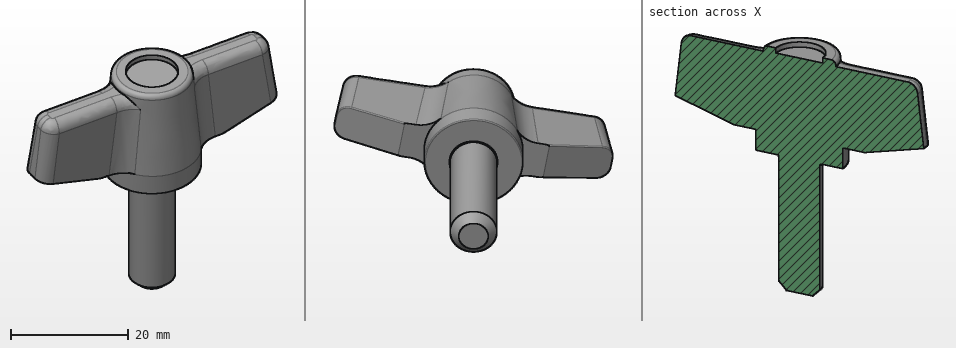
import cadquery as cq

tip_chamfer = 1.5
collar_bottom = 24.8
hub_bottom = 25.0
grip_bottom = 28.85
wing_top = 43.9
hub_top = 45.0

shank_radius = 8.0 / 2
collar_radius = 4.12
hub_radius = 16.9 / 2
hub_top_radius = 6.95
rim_fillet = 0.9
bottom_edge_fillet = 0.2
recess_radius = 8.95 / 2
recess_depth = 0.95

wing_half_width = 3.3
wing_top_lean_side = 2.25
overall_length = 47.95
edge_rounding_loss = 0.02
wing_reach = overall_length / 2 + edge_rounding_loss
wing_top_reach = 22.6
wing_tip_bottom = 32.0
underside_start = 12.55
end_corner_fillet = 2.3
root_fillet = 5.05
top_edge_fillet = 2.0

selection_margin = 0.15

end_lean = (wing_reach - wing_top_reach) / (wing_top - wing_tip_bottom)
wing_bottom_reach = wing_reach + end_lean * (wing_tip_bottom - grip_bottom)
hub_lean = (hub_radius - hub_top_radius) / (hub_top - grip_bottom)
hub_radius_at_wing_top = hub_radius - hub_lean * (wing_top - grip_bottom)


def make_wing():
    """Wing pointing to -Y, with its +X side upright and its -X side leaning."""
    bottom_width = 2 * wing_half_width
    top_width = wing_half_width + wing_top_lean_side
    top_center = (wing_half_width - wing_top_lean_side) / 2
    wing = (
        cq.Workplane("XY", origin=(0, 0, grip_bottom))
        .center(0, -wing_bottom_reach / 2)
        .rect(bottom_width, wing_bottom_reach)
        .workplane(offset=wing_top - grip_bottom)
        .center(top_center, (wing_bottom_reach - wing_top_reach) / 2)
        .rect(top_width, wing_top_reach)
        .loft(ruled=True)
    )
    return wing.faces("<Y").edges("not #Z").edges("not |X").fillet(end_corner_fillet)


def make_grip():
    """Tapered core and both wings, blended at the roots and along the top."""
    core = cq.Workplane("XZ").polyline([
        (0, grip_bottom),
        (hub_radius, grip_bottom),
        (hub_radius_at_wing_top, wing_top),
        (0, wing_top),
    ]).close().revolve(360, (0, 0, 0), (0, 1, 0))
    wing = make_wing()
    opposite_wing = wing.rotate((0, 0, 0), (0, 0, 1), 180)
    grip = core.union(wing).union(opposite_wing)

    root_zone = cq.selectors.BoxSelector(
        (-hub_radius, -hub_radius, grip_bottom + top_edge_fillet),
        (hub_radius, hub_radius, wing_top - top_edge_fillet),
    )
    grip = grip.edges(root_zone).edges("not #Z").fillet(root_fillet)
    grip = grip.faces(">Z").edges().fillet(top_edge_fillet)
    grip = grip.cut(make_underside_cut(-1)).cut(make_underside_cut(1))

    for tip_zone in (make_tip_zone(-1), make_tip_zone(1)):
        grip = grip.edges(tip_zone).fillet(bottom_edge_fillet)
    return grip


def make_tip_zone(side):
    """Region holding the middles of the sloped underside's outer edges."""
    near_y = side * (underside_start + selection_margin)
    far_y = side * (wing_reach + selection_margin)
    return cq.selectors.BoxSelector(
        (-hub_radius, min(near_y, far_y), grip_bottom),
        (hub_radius, max(near_y, far_y), wing_tip_bottom + selection_margin),
    )


def make_underside_cut(side):
    """Wedge that slopes the underside of the wing on the given Y side up to its tip."""
    slope = (wing_tip_bottom - grip_bottom) / (wing_reach - underside_start)
    far_y = 2 * wing_reach
    far_z = grip_bottom + slope * (far_y - underside_start)
    return cq.Workplane("YZ").polyline([
        (side * underside_start, grip_bottom),
        (side * far_y, far_z),
        (side * far_y, grip_bottom),
    ]).close().extrude(hub_radius, both=True)


def make_hub():
    """Shank, collar, base and tapered hub with a rounded rim."""
    hub = cq.Workplane("XZ").polyline([
        (0, 0),
        (shank_radius - tip_chamfer, 0),
        (shank_radius, tip_chamfer),
        (shank_radius, collar_bottom),
        (collar_radius, collar_bottom),
        (collar_radius, hub_bottom),
        (hub_radius, hub_bottom),
        (hub_radius, grip_bottom),
        (hub_top_radius, hub_top),
        (0, hub_top),
    ]).close().revolve(360, (0, 0, 0), (0, 1, 0))
    hub = hub.faces(">Z").edges().fillet(rim_fillet)
    base_zone = cq.selectors.BoxSelector(
        (-hub_radius - selection_margin, -hub_radius - selection_margin, hub_bottom - selection_margin),
        (hub_radius + selection_margin, hub_radius + selection_margin, hub_bottom + selection_margin),
        boundingbox=True,
    )
    base_rim = hub.edges(base_zone).edges(cq.selectors.RadiusNthSelector(-1))
    return base_rim.fillet(bottom_edge_fillet)


recess = (
    cq.Workplane("XY", origin=(0, 0, hub_top - recess_depth))
    .circle(recess_radius)
    .extrude(recess_depth)
)
result = make_hub().union(make_grip()).cut(recess)